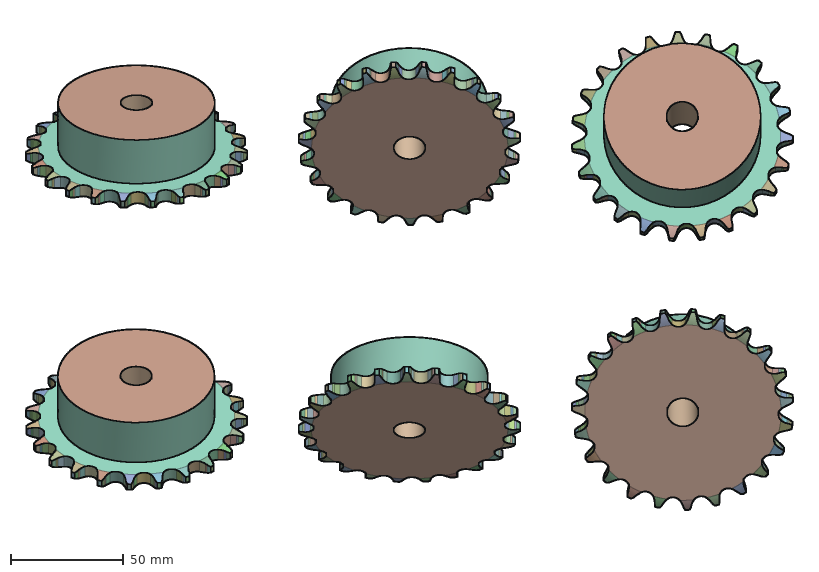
import cadquery as cq
import math

tooth_count = 23
pitch_diameter = 93.2
roller_diameter = 7.7
tip_diameter = 99.0
plate_thickness = 5.8
bevel_start_diameter = 87.6
bevel_radius = 13.0
hub_diameter = 70.0
total_height = 28.0
bore_diameter = 14.0

pitch_radius = pitch_diameter / 2
tip_radius = tip_diameter / 2
seating_clearance = 0.04
seating_radius = 0.5025 * roller_diameter + seating_clearance
working_radius = 1.3025 * roller_diameter + seating_clearance
seating_angle = math.radians(35 + 60 / tooth_count)
working_angle = math.radians(18 - 56 / tooth_count)
topping_angle = math.radians(17 - 64 / tooth_count)
topping_radius = roller_diameter * (
    0.8 * math.cos(working_angle) + 1.4 * math.cos(topping_angle) - 1.3025
) - seating_clearance
topping_sweep = math.radians(25)


def point_on_arc(center, radius, angle):
    return (center[0] + radius * math.cos(angle), center[1] + radius * math.sin(angle))


def mirrored(point):
    return (-point[0], point[1])


def tooth_gap():
    """Cutter for the tooth gap centred on +Y: seat, then concave arc, line and convex arc up each flank."""
    half_pitch_angle = math.pi / tooth_count
    seat_center = (0, pitch_radius)
    working_center = (
        -0.8 * roller_diameter * math.cos(seating_angle),
        pitch_radius + 0.8 * roller_diameter * math.sin(seating_angle),
    )
    topping_center = (
        1.4 * roller_diameter * math.cos(half_pitch_angle),
        pitch_radius - 1.4 * roller_diameter * math.sin(half_pitch_angle),
    )

    seat_end_angle = -seating_angle
    line_normal_angle = seat_end_angle + working_angle
    topping_start_angle = line_normal_angle + math.pi
    topping_end_angle = topping_start_angle - topping_sweep

    seat_bottom = point_on_arc(seat_center, seating_radius, -math.pi / 2)
    seat_end = point_on_arc(seat_center, seating_radius, seat_end_angle)
    working_middle = point_on_arc(working_center, working_radius, seat_end_angle + working_angle / 2)
    working_end = point_on_arc(working_center, working_radius, line_normal_angle)
    topping_start = point_on_arc(topping_center, topping_radius, topping_start_angle)
    topping_middle = point_on_arc(topping_center, topping_radius, topping_start_angle - topping_sweep / 2)
    topping_end = point_on_arc(topping_center, topping_radius, topping_end_angle)

    return (
        cq.Workplane("XY")
        .moveTo(*mirrored(seat_end))
        .threePointArc(seat_bottom, seat_end)
        .threePointArc(working_middle, working_end)
        .lineTo(*topping_start)
        .threePointArc(topping_middle, topping_end)
        .lineTo(*mirrored(topping_end))
        .threePointArc(mirrored(topping_middle), mirrored(topping_start))
        .lineTo(*mirrored(working_end))
        .threePointArc(mirrored(working_middle), mirrored(seat_end))
        .close()
        .extrude(plate_thickness)
    )


def plate_blank():
    """Disc whose rim is thinned by an arc tangent to each flat face."""
    bevel_start_radius = bevel_start_diameter / 2
    bevel_angle = math.asin((tip_radius - bevel_start_radius) / bevel_radius)
    bottom_center = (bevel_start_radius, bevel_radius)
    top_center = (bevel_start_radius, plate_thickness - bevel_radius)
    bottom_start = -math.pi / 2
    top_start = math.pi / 2
    return (
        cq.Workplane("XZ")
        .lineTo(bevel_start_radius, 0)
        .threePointArc(
            point_on_arc(bottom_center, bevel_radius, bottom_start + bevel_angle / 2),
            point_on_arc(bottom_center, bevel_radius, bottom_start + bevel_angle),
        )
        .lineTo(*point_on_arc(top_center, bevel_radius, top_start - bevel_angle))
        .threePointArc(
            point_on_arc(top_center, bevel_radius, top_start - bevel_angle / 2),
            (bevel_start_radius, plate_thickness),
        )
        .lineTo(0, plate_thickness)
        .close()
        .revolve(360, (0, 0, 0), (0, 1, 0))
    )


def toothed_plate():
    plate = plate_blank()
    gap = tooth_gap()
    for index in range(tooth_count):
        plate = plate.cut(gap.rotate((0, 0, 0), (0, 0, 1), index * 360 / tooth_count))
    return plate


hub = cq.Workplane("XY").circle(hub_diameter / 2).extrude(total_height)
bore = cq.Workplane("XY").circle(bore_diameter / 2).extrude(total_height)

result = toothed_plate().union(hub).cut(bore)